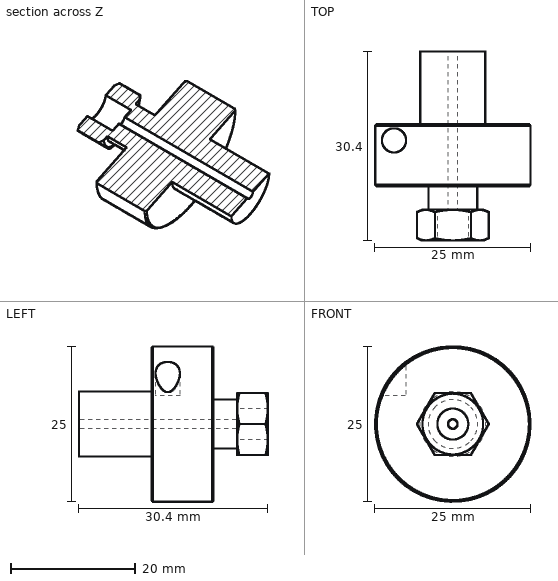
import cadquery as cq
import math

hex_length = 5.0
neck_length = 3.75
disc_length = 10.0
total_length = 30.4

disc_diameter = 25.0
spigot_diameter = 10.5
neck_diameter = 7.9
hex_across_flats = 10.0
hex_face_diameter = 9.75
socket_diameter = 5.0
bore_diameter = 1.5
socket_depth = hex_length

disc_chamfer = 0.27
hex_corner_drop = 0.4

recess_diameter = 3.9
recess_x = -9.45
recess_back_offset = 2.6
recess_floor_z = 4.55

hex_corner_radius = hex_across_flats / 2 / math.cos(math.pi / 6)
disc_start = hex_length + neck_length
disc_end = disc_start + disc_length


def rod(diameter, start, end):
    """Cylinder on the Y axis between two Y positions."""
    plane = cq.Workplane("XZ", origin=(0, start, 0))
    return plane.circle(diameter / 2).extrude(start - end)


def hex_head():
    """Hexagon with corners on the X axis, both ends turned to a shallow cone."""
    prism = cq.Workplane("XZ").polygon(6, 2 * hex_corner_radius).extrude(-hex_length)
    turned_blank = (
        cq.Workplane("XY")
        .moveTo(0, 0)
        .lineTo(hex_face_diameter / 2, 0)
        .lineTo(hex_corner_radius, hex_corner_drop)
        .lineTo(hex_corner_radius, hex_length - hex_corner_drop)
        .lineTo(hex_face_diameter / 2, hex_length)
        .lineTo(0, hex_length)
        .close()
        .revolve(360, (0, 0, 0), (0, 1, 0))
    )
    return prism.intersect(turned_blank)


def rim_recess():
    """Flat-floored round cutter entering the disc rim from above."""
    floor = cq.Workplane("XY", origin=(recess_x, disc_end - recess_back_offset, recess_floor_z))
    return floor.circle(recess_diameter / 2).extrude(disc_diameter / 2)


disc = rod(disc_diameter, disc_start, disc_end).edges("%CIRCLE").chamfer(disc_chamfer)
neck = rod(neck_diameter, hex_length, disc_start)
spigot = rod(spigot_diameter, disc_end, total_length)

body = hex_head().union(neck).union(disc).union(spigot)

socket = rod(socket_diameter, 0, socket_depth)
through_bore = rod(bore_diameter, 0, total_length)

result = body.cut(rim_recess()).cut(socket).cut(through_bore)